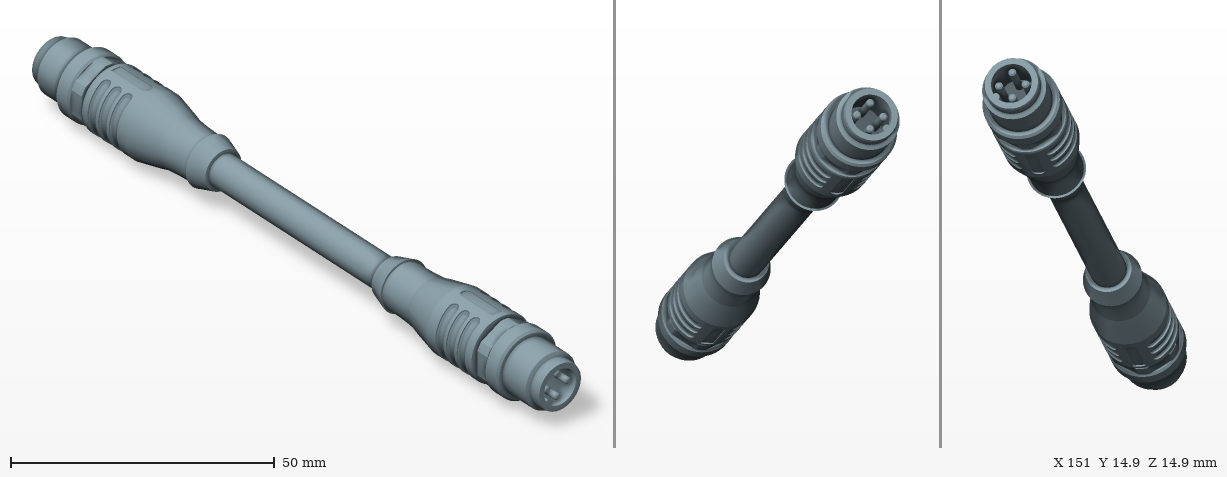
import cadquery as cq
import math

length = 151.0
cable_radius = 3.55

tip_chamfer_end = 0.6
barrel_start = 2.4
barrel_chamfer_end = 2.9
nut_start = 9.7
hex_start = 13.6
neck_start = 16.6
grip_start = 17.5
grip_end = 30.7
taper_end = 38.4
collar_start = 46.5
plug_end = 50.7

tip_end_radius = 5.1
tip_radius = 5.3
barrel_radius = 6.2
grip_radius = 7.47
nut_radius = grip_radius
rim_chamfer = 0.5
grip_chamfer_length = 0.5
grip_chamfer_height = 0.2
neck_radius = 4.8
taper_end_radius = 5.66
sleeve_radius = 5.3
collar_radius = 5.7
plug_end_radius = 4.45
taper_bulge = 0.08
sleeve_sag = 0.2

hex_across_flats = 13.3
hex_corner_radius = 7.17

groove_width = 2.4
groove_pitch = 3.2
groove_count = 3
first_groove = 20.5
groove_depth = 0.6
groove_floor_chamfer = 0.3
groove_inner_y = 3.0

recess_start = 18.7
recess_end = 29.0
recess_width = 2.4
recess_depth = 0.3

socket_radius = 4.0
socket_depth = 8.5
pin_radius = 0.8
pin_tip_chamfer = 0.3
pin_circle_radius = 2.5
pin_count = 4
pin_inset = 0.6
key_radius = 0.8
key_angle = -140.0


def rod(radius, start, end, y=0.0, z=0.0):
    """Cylinder parallel to X."""
    return cq.Workplane("YZ", origin=(start, 0, 0)).center(y, z).circle(radius).extrude(end - start)


def turned_body():
    """Revolved outline of a plug, running past its end into half of the cable."""
    taper_middle = ((grip_end + taper_end) / 2, (grip_radius + taper_end_radius) / 2 + taper_bulge)
    sleeve_middle = ((taper_end + collar_start) / 2, (taper_end_radius + sleeve_radius) / 2 - sleeve_sag)
    outline = (
        cq.Workplane("XY")
        .lineTo(0, tip_end_radius)
        .lineTo(tip_chamfer_end, tip_radius)
        .lineTo(barrel_start, tip_radius)
        .lineTo(barrel_chamfer_end, barrel_radius)
        .lineTo(nut_start, barrel_radius)
        .lineTo(nut_start, nut_radius - rim_chamfer)
        .lineTo(nut_start + rim_chamfer, nut_radius)
        .lineTo(hex_start - rim_chamfer, nut_radius)
        .lineTo(hex_start, nut_radius - rim_chamfer)
        .lineTo(hex_start, neck_radius)
        .lineTo(grip_start, neck_radius)
        .lineTo(grip_start, grip_radius - grip_chamfer_height)
        .lineTo(grip_start + grip_chamfer_length, grip_radius)
        .lineTo(grip_end, grip_radius)
        .threePointArc(taper_middle, (taper_end, taper_end_radius))
        .threePointArc(sleeve_middle, (collar_start, sleeve_radius))
        .lineTo(collar_start, collar_radius)
        .lineTo(plug_end, plug_end_radius)
        .lineTo(plug_end, cable_radius)
        .lineTo(length / 2, cable_radius)
        .lineTo(length / 2, 0)
        .close()
    )
    return outline.revolve(360, (0, 0, 0), (1, 0, 0))


def hex_section():
    """Hexagon with two flats facing -Y and +Y and rounded corners."""
    corner_diameter = hex_across_flats / math.cos(math.pi / 6)
    hexagon = (
        cq.Workplane("YZ", origin=(hex_start, 0, 0))
        .transformed(rotate=(0, 0, 30))
        .polygon(6, corner_diameter)
        .extrude(neck_start - hex_start)
    )
    return hexagon.intersect(rod(hex_corner_radius, hex_start, neck_start))


def finger_groove(x):
    """Shallow ring segment on the +Y flank, with round ends above and below and a chamfered floor edge."""
    reach = 2 * grip_radius
    core = rod(grip_radius - groove_depth, grip_start, grip_end)
    groove = (
        cq.Workplane("XY")
        .center(x, groove_inner_y + reach / 2)
        .slot2D(reach, groove_width, 90)
        .extrude(grip_radius, both=True)
        .cut(core)
    )
    floor_point = (x, grip_radius - groove_depth, 0)
    floor_edges = groove.faces(cq.selectors.NearestToPointSelector(floor_point)).edges()
    return floor_edges.chamfer(groove_floor_chamfer)


def long_recesses():
    """Flat-bottomed recesses on top and bottom, square towards the nut and round towards the cable."""
    half_width = recess_width / 2
    floor = grip_radius - recess_depth
    upper = (
        cq.Workplane("XY", origin=(0, 0, floor))
        .moveTo(recess_start, -half_width)
        .lineTo(recess_end - half_width, -half_width)
        .threePointArc((recess_end, 0), (recess_end - half_width, half_width))
        .lineTo(recess_start, half_width)
        .close()
        .extrude(2 * recess_depth)
    )
    return upper.union(upper.mirror("XY"))


def socket():
    """Blind bore, leaving the pins and the key standing in it."""
    bore = rod(socket_radius, 0, socket_depth)
    for index in range(pin_count):
        angle = index * 2 * math.pi / pin_count
        y = pin_circle_radius * math.cos(angle)
        z = pin_circle_radius * math.sin(angle)
        pin = rod(pin_radius, pin_inset, socket_depth, y, z).faces("<X").chamfer(pin_tip_chamfer)
        bore = bore.cut(pin)
    key_y = socket_radius * math.cos(math.radians(key_angle))
    key_z = socket_radius * math.sin(math.radians(key_angle))
    return bore.cut(rod(key_radius, 0, socket_depth, key_y, key_z))


plug = turned_body().union(hex_section())
plug = plug.cut(long_recesses()).cut(socket())
for groove_index in range(groove_count):
    groove_cut = finger_groove(first_groove + groove_index * groove_pitch)
    plug = plug.cut(groove_cut).cut(groove_cut.mirror("XZ"))
left_half = plug.translate((-length / 2, 0, 0))
result = left_half.union(left_half.mirror("YZ"))